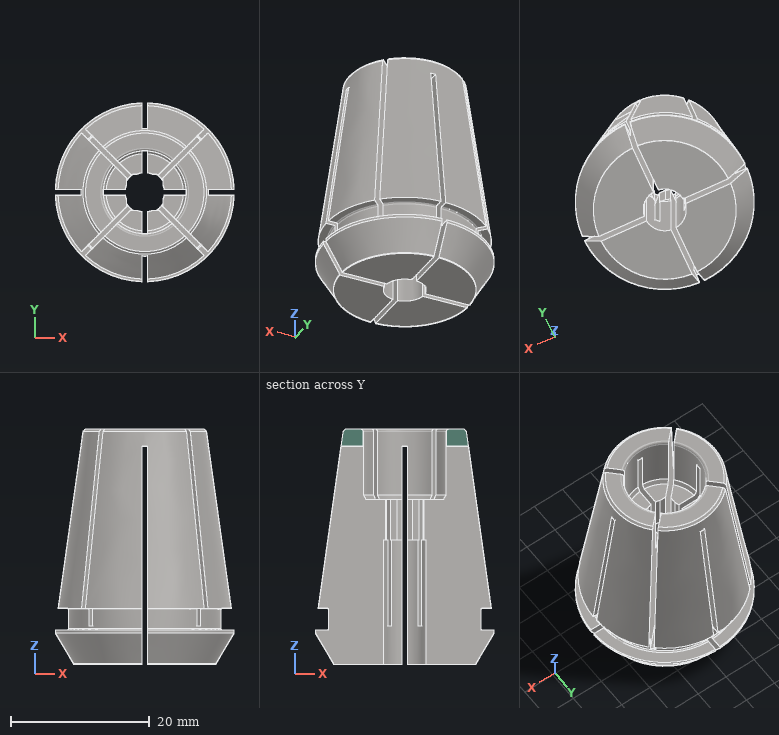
import cadquery as cq
import math

height = 34.0
flange_radius = 12.92
flange_base_radius = 10.3
base_band_height = 0.15
flange_edge_bottom = 4.55
flange_top = 5.0
neck_radius = 11.0
neck_fillet = 0.2
cone_bottom = 8.13
cone_bottom_radius = 12.5
cone_half_angle = 8.0
top_chamfer = 0.37

shank_radius = 3.1
shank_depth = 18.0
square_side = 5.2
square_relief_radius = 2.82
clearance_floor = 23.8
clearance_radius = 6.0
mouth_fillet = 0.35
floor_taper_width = 0.4
floor_taper_angle = 30.0

slot_width = 0.78
slot_length = 2 * flange_radius + slot_width
lower_slot_top = 31.5
upper_slot_floor = 5.55


def outer_body():
    """Solid of revolution: flared flange, recessed neck and long taper."""
    taper_top = height - top_chamfer
    taper_inset = (taper_top - cone_bottom) * math.tan(math.radians(cone_half_angle))
    taper_top_radius = cone_bottom_radius - taper_inset
    return (
        cq.Workplane("XZ")
        .lineTo(flange_base_radius, 0)
        .lineTo(flange_base_radius, base_band_height)
        .lineTo(flange_radius, flange_edge_bottom)
        .lineTo(flange_radius, flange_top)
        .lineTo(neck_radius + neck_fillet, flange_top)
        .radiusArc((neck_radius, flange_top + neck_fillet), neck_fillet)
        .lineTo(neck_radius, cone_bottom - neck_fillet)
        .radiusArc((neck_radius + neck_fillet, cone_bottom), neck_fillet)
        .lineTo(cone_bottom_radius, cone_bottom)
        .lineTo(taper_top_radius, taper_top)
        .lineTo(taper_top_radius - top_chamfer, height)
        .lineTo(0, height)
        .close()
        .revolve(360, (0, 0, 0), (0, 1, 0))
    )


def bore():
    """Space removed along the axis, from the shank seat up to the rounded mouth."""
    shank_seat = cq.Workplane("XY").circle(shank_radius).extrude(shank_depth)
    drive_length = clearance_floor - shank_depth
    drive = cq.Workplane("XY").workplane(offset=shank_depth)
    square = drive.rect(square_side, square_side).extrude(drive_length)
    square_relief = drive.circle(square_relief_radius).extrude(drive_length)
    floor_taper_height = floor_taper_width / math.tan(math.radians(floor_taper_angle))
    clearance = (
        cq.Workplane("XZ")
        .moveTo(0, clearance_floor)
        .lineTo(clearance_radius - floor_taper_width, clearance_floor)
        .lineTo(clearance_radius, clearance_floor + floor_taper_height)
        .lineTo(clearance_radius, height - mouth_fillet)
        .radiusArc((clearance_radius + mouth_fillet, height), mouth_fillet)
        .lineTo(0, height)
        .close()
        .revolve(360, (0, 0, 0), (0, 1, 0))
    )
    return shank_seat.union(square).union(square_relief).union(clearance)


def crossed_slots(first_angle, bottom, top):
    """Two full-width slots at right angles, between two heights."""
    blade = cq.Workplane("XY").workplane(offset=bottom).rect(slot_length, slot_width).extrude(top - bottom)
    first = blade.rotate((0, 0, 0), (0, 0, 1), first_angle)
    second = blade.rotate((0, 0, 0), (0, 0, 1), first_angle + 90)
    return first.union(second)


slots_from_base = crossed_slots(0, 0, lower_slot_top)
slots_from_top = crossed_slots(45, upper_slot_floor, height)

result = outer_body().cut(bore()).cut(slots_from_base).cut(slots_from_top)